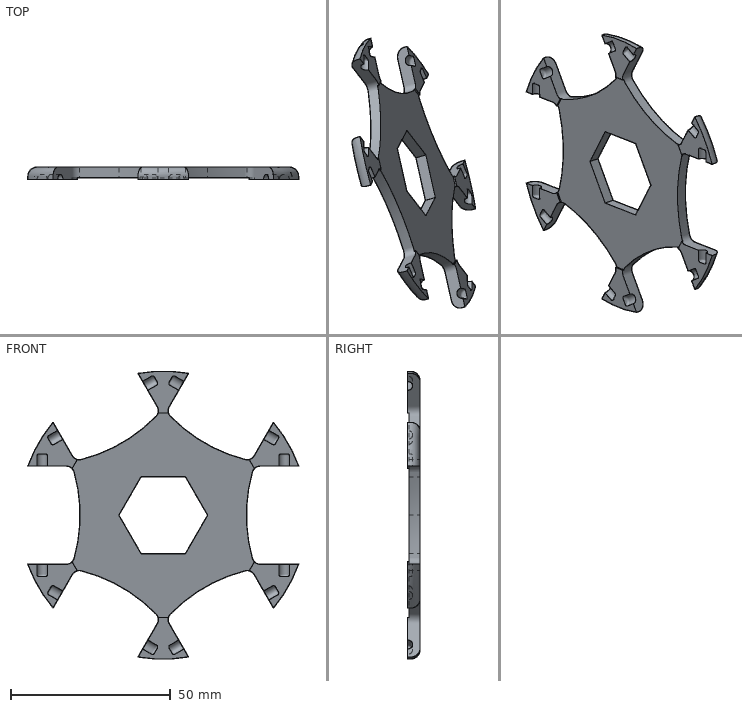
import cadquery as cq
import math

outer_radius = 45.0
thickness = 4.0
rim_land = 1.0
rim_round = thickness - rim_land
recess_radius = 31.95
recess_depth = 0.495
hex_across_flats = 23.9

arm_count = 6
arm_pitch = 360 / arm_count
gap_half_width = 15.3
gap_floor = 26.0
gap_floor_radius = 49.5
gap_corner_radius = 2.5

socket_radius = 1.6
socket_depth = 3.9
socket_offset = 37.8
socket_end_round = 0.6


def spread_around(solid):
    """Return one copy of the solid for each gap, turned about the Y axis."""
    return [solid.rotate((0, 0, 0), (0, 1, 0), i * arm_pitch) for i in range(arm_count)]


def make_disc():
    """Disc about the Y axis with a rounded back rim."""
    round_middle = rim_round * math.sqrt(0.5)
    return (
        cq.Workplane("XY")
        .lineTo(outer_radius, 0)
        .lineTo(outer_radius, rim_land)
        .threePointArc(
            (outer_radius - rim_round + round_middle, rim_land + round_middle),
            (outer_radius - rim_round, thickness),
        )
        .lineTo(0, thickness)
        .close()
        .revolve(360, (0, 0, 0), (0, 1, 0))
    )


def make_gap():
    """Opening on the +X side: two parallel sides, a bulging floor and rounded corners."""
    floor_centre = gap_floor + gap_floor_radius
    corner_z = gap_half_width - gap_corner_radius
    reach = gap_floor_radius - gap_corner_radius
    corner_x = floor_centre - math.sqrt(reach**2 - corner_z**2)

    slope = math.asin(corner_z / reach)
    floor_end_x = floor_centre - gap_floor_radius * math.cos(slope)
    floor_end_z = gap_floor_radius * math.sin(slope)

    middle_angle = (math.pi / 2 + math.pi - slope) / 2
    middle_x = corner_x + gap_corner_radius * math.cos(middle_angle)
    middle_z = corner_z + gap_corner_radius * math.sin(middle_angle)

    return (
        cq.Workplane("XZ")
        .moveTo(outer_radius, gap_half_width)
        .lineTo(corner_x, gap_half_width)
        .threePointArc((middle_x, middle_z), (floor_end_x, floor_end_z))
        .threePointArc((gap_floor, 0), (floor_end_x, -floor_end_z))
        .threePointArc((middle_x, -middle_z), (corner_x, -gap_half_width))
        .lineTo(outer_radius, -gap_half_width)
        .close()
        .extrude(-thickness)
    )


def make_socket():
    """Round-ended pin along Z, entering the arm from the upper side of the +X gap."""
    return (
        cq.Workplane("XY", origin=(socket_offset, 0, gap_half_width))
        .circle(socket_radius)
        .extrude(socket_depth)
        .faces(">Z")
        .edges()
        .fillet(socket_end_round)
    )


result = make_disc()

recess = cq.Workplane("XZ").circle(recess_radius).extrude(-recess_depth)
result = result.cut(recess)

hex_corner_diameter = hex_across_flats / math.cos(math.pi / 6)
hex_hole = cq.Workplane("XZ").polygon(6, hex_corner_diameter).extrude(-thickness)
result = result.cut(hex_hole)

for gap in spread_around(make_gap()):
    result = result.cut(gap)

upper_socket = make_socket()
lower_socket = upper_socket.mirror("XY")
for socket in spread_around(upper_socket) + spread_around(lower_socket):
    result = result.cut(socket)